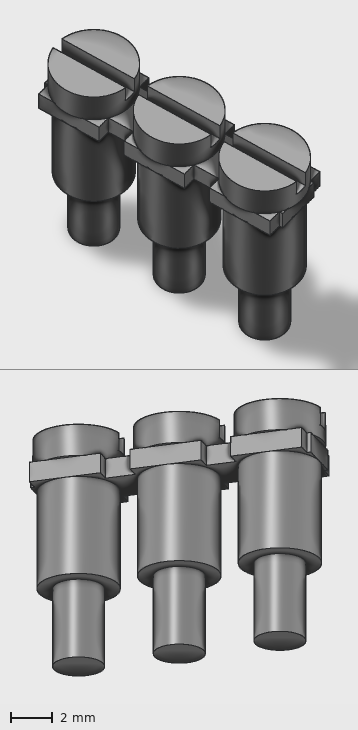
import cadquery as cq

overall_length = 14.6
screw_count = 3
head_diameter = 4.4
head_height = 1.6
slot_width = 0.7
slot_depth = 0.9
shank_diameter = 2.5
shank_projection = 4.0
sleeve_diameter = 4.0
sleeve_length = 5.0
bar_length = 14.2
bar_width = 2.5
bar_thickness = 1.01
pad_length = 3.6
pad_width = sleeve_diameter

pitch = (overall_length - head_diameter) / (screw_count - 1)
screw_positions = [(i - (screw_count - 1) / 2) * pitch for i in range(screw_count)]
sleeve_bottom = shank_projection
bar_bottom = sleeve_bottom + sleeve_length
head_bottom = bar_bottom + bar_thickness
head_top = head_bottom + head_height


def block(length, width, height, x, bottom):
    """Rectangular block centred on (x, 0), standing on the given level."""
    return (
        cq.Workplane("XY", origin=(x, 0, bottom))
        .rect(length, width)
        .extrude(height)
    )


def cylinder(diameter, height, x, bottom):
    """Vertical cylinder centred on (x, 0), standing on the given level."""
    return (
        cq.Workplane("XY", origin=(x, 0, bottom))
        .circle(diameter / 2)
        .extrude(height)
    )


def make_screw(x):
    """Slotted cheese-head screw with a plain shank."""
    shank = cylinder(shank_diameter, head_bottom, x, 0)
    head = cylinder(head_diameter, head_height, x, head_bottom)
    slot = block(head_diameter, slot_width, slot_depth, x, head_top - slot_depth)
    return shank.union(head).cut(slot)


def make_sleeve(x):
    """Spacer sleeve fitted around the shank, under the bar."""
    sleeve = cylinder(sleeve_diameter, sleeve_length, x, sleeve_bottom)
    bore = cylinder(shank_diameter, sleeve_length, x, sleeve_bottom)
    return sleeve.cut(bore)


def make_bar():
    """Connecting bar with a wider pad and a clearance-free hole at each screw."""
    bar = block(bar_length, bar_width, bar_thickness, 0, bar_bottom)
    for x in screw_positions:
        bar = bar.union(block(pad_length, pad_width, bar_thickness, x, bar_bottom))
    for x in screw_positions:
        bar = bar.cut(cylinder(shank_diameter, bar_thickness, x, bar_bottom))
    return bar


bar = make_bar()
screws = [make_screw(x) for x in screw_positions]
sleeves = [make_sleeve(x) for x in screw_positions]

result = cq.Compound.makeCompound(
    [bar.val()]
    + [screw.val() for screw in screws]
    + [sleeve.val() for sleeve in sleeves]
)